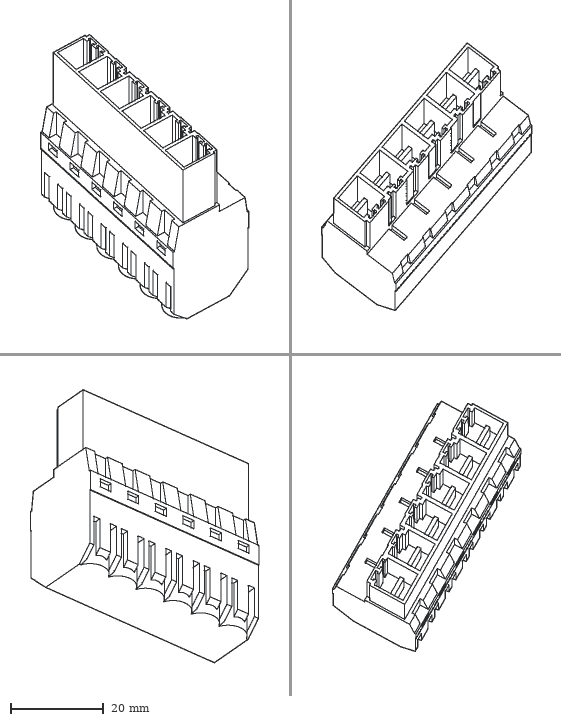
import cadquery as cq


LENGTH = 46.6
END_MARGIN = 0.445
WAYS = 6
PITCH = (LENGTH - 2 * END_MARGIN) / WAYS
CELL_CENTRES = [(i - (WAYS - 1) / 2) * PITCH for i in range(WAYS)]

DEPTH = 20.6
BAND_BOTTOM = 17.35
BAND_TOP = 22.4
BAND_PROUD = 0.2
BASE_FRONT_CHAMFER = 3.6
BASE_BACK_CHAMFER = 5.05
FRONT_SHOULDER_Y = 0.35
FRONT_TOP_Y = 1.6
BACK_SHOULDER_Y = DEPTH - 0.35
BACK_TOP_Y = DEPTH - 1.0
BLOCK_BACK_Y = 12.65
LEDGE_Z = 27.15
BLOCK_TOP = 29.1

TOWER_TOP = 45.0
TOWER_LENGTH = 45.75
TOWER_FRONT_Y = 3.05
CORNER_NOTCH_WIDTH = 0.45
CORNER_NOTCH_Y = 11.7

FRONT_NOTCH_WIDTH = 3.55
FRONT_NOTCH_Y = 2.35
BACK_NOTCH_WIDTH = 2.5
BACK_NOTCH_Y = BACK_TOP_Y - 0.25
WINDOW_WIDTH = 3.0
WINDOW_BOTTOM = 19.2
WINDOW_TOP = 21.3
WINDOW_DEPTH = 0.95
RIB_SLOT_TOP = 11.0
RIB_SLOT_INNER = 1.5
RIB_SLOT_OUTER = 3.12
BOSS_RADIUS = 4.1
BOSS_FRONT_Y = 1.25

LEDGE_SLOT_WIDTH = 1.05
LEDGE_SLOT_OFFSET = 0.05
LEDGE_SLOT_BACK_Y = 16.85
LEDGE_SLOT_DEPTH = 2.35
RECESS_Y = BLOCK_BACK_Y - 0.2
RECESS_WIDTH = 2.55
KEY_NOTCH_WIDTH = 1.25
KEY_NOTCH_Y = 11.95
KEY_NOTCH_DEEP_WIDTH = 0.5
KEY_NOTCH_DEEP_Y = 11.25

SOCKET_WALL = 0.9
SOCKET_HALF = (PITCH - SOCKET_WALL) / 2
TOWER_END_WALL = 0.6
END_SOCKET_HALF = TOWER_LENGTH / 2 - TOWER_END_WALL - CELL_CENTRES[-1]
SOCKET_FRONT_Y = 3.78
SOCKET_FLOOR = BLOCK_TOP
KEY_HEAD_Y = 12.1
KEY_SHOULDER_Y = 11.55
KEY_WALL_Y = 11.05

INNER_KEY = (-1.03, 1.25, -0.5, 0.75)
END_KEY_OUTER = (-2.45, -0.33, -2.1, -0.7)
END_KEY_INNER = (0.35, 2.7, 0.95, 2.15)
INNER_STEP_LEFT = -1.6
INNER_STEP_RIGHT = 1.95
END_STEP_LEFT = -1.4
END_STEP_RIGHT = 1.55
INNER_CORNER_Y = 10.3
END_CORNER_OUTER_Y = 10.85
END_CORNER_INNER_Y = 11.25

BLADE_WIDTH = 4.48
BLADE_THICKNESS = 0.95
BLADE_Y = 7.05
BLADE_HEIGHT = 9.32


def box(x_range, y_range, z_range):
    """Axis-aligned box between two limits on each axis."""
    (x0, x1), (y0, y1), (z0, z1) = x_range, y_range, z_range
    return cq.Workplane("XY").box(x1 - x0, y1 - y0, z1 - z0, centered=False).translate((x0, y0, z0))


def span(centre, width):
    """Limits of a width centred on a position."""
    return (centre - width / 2, centre + width / 2)


def make_body():
    """Side profile extruded over the full length."""
    front_y = BAND_PROUD
    back_y = DEPTH - BAND_PROUD
    profile = [
        (front_y + BASE_FRONT_CHAMFER, 0),
        (front_y, BASE_FRONT_CHAMFER),
        (front_y, BAND_BOTTOM),
        (0, BAND_BOTTOM),
        (0, BAND_TOP),
        (FRONT_SHOULDER_Y, BAND_TOP),
        (FRONT_TOP_Y, BLOCK_TOP),
        (BLOCK_BACK_Y, BLOCK_TOP),
        (BLOCK_BACK_Y, LEDGE_Z),
        (BACK_TOP_Y, LEDGE_Z),
        (BACK_SHOULDER_Y, BAND_TOP),
        (DEPTH, BAND_TOP),
        (DEPTH, BAND_BOTTOM),
        (back_y, BAND_BOTTOM),
        (back_y, BASE_BACK_CHAMFER),
        (back_y - BASE_BACK_CHAMFER, 0),
    ]
    return cq.Workplane("YZ").polyline(profile).close().extrude(LENGTH / 2, both=True)


def cut_cell_front_and_back(body, centre):
    """Notches, window and rib slots of one cell."""
    above_band = (BAND_TOP, BLOCK_TOP)
    body = body.cut(box(span(centre, FRONT_NOTCH_WIDTH), (0, FRONT_NOTCH_Y), above_band))
    body = body.cut(box(span(centre, BACK_NOTCH_WIDTH), (BACK_NOTCH_Y, DEPTH), above_band))
    window_height = (WINDOW_BOTTOM, WINDOW_TOP)
    body = body.cut(box(span(centre, WINDOW_WIDTH), (0, WINDOW_DEPTH), window_height))
    slot_depth = (0, BOSS_FRONT_Y + BOSS_RADIUS)
    for x_range in [
        (centre - RIB_SLOT_OUTER, centre - RIB_SLOT_INNER),
        (centre + RIB_SLOT_INNER, centre + RIB_SLOT_OUTER),
    ]:
        body = body.cut(box(x_range, slot_depth, (0, RIB_SLOT_TOP)))
    return body


def make_boss(centre):
    """Round wire-entry boss that shows through the rib slots and the base chamfer."""
    boss = cq.Workplane("XY").circle(BOSS_RADIUS).extrude(RIB_SLOT_TOP)
    return boss.translate((centre, BOSS_FRONT_Y + BOSS_RADIUS, 0))


def make_tower():
    """Plain tower with a small notch on each rear corner."""
    height = (BLOCK_TOP, TOWER_TOP)
    tower = box(span(0, TOWER_LENGTH), (TOWER_FRONT_Y, BLOCK_BACK_Y), height)
    for side in (-1, 1):
        notch_x = side * (TOWER_LENGTH - CORNER_NOTCH_WIDTH) / 2
        tower = tower.cut(box(span(notch_x, CORNER_NOTCH_WIDTH), (CORNER_NOTCH_Y, BLOCK_BACK_Y), height))
    return tower


def cut_ledge_slot_and_recesses(housing, boundary, has_key_notch, recess_width):
    """Ledge slot and tower-back recesses at one boundary between two cells."""
    slot = span(boundary + LEDGE_SLOT_OFFSET, LEDGE_SLOT_WIDTH)
    left = slot[0]
    housing = housing.cut(
        box(slot, (BLOCK_BACK_Y, LEDGE_SLOT_BACK_Y), (LEDGE_Z - LEDGE_SLOT_DEPTH, LEDGE_Z))
    )
    height = (BLOCK_TOP, TOWER_TOP)
    housing = housing.cut(box((left, left + recess_width), (RECESS_Y, BLOCK_BACK_Y), height))
    if has_key_notch:
        for width, floor_y in [
            (KEY_NOTCH_WIDTH, KEY_NOTCH_Y),
            (KEY_NOTCH_DEEP_WIDTH, KEY_NOTCH_DEEP_Y),
        ]:
            housing = housing.cut(box((left - width, left), (floor_y, BLOCK_BACK_Y), height))
    return housing


def make_socket(back_steps, key_slots):
    """Socket void centred on X = 0.

    back_steps lists (left, right, back y) of each stretch of the back wall;
    key_slots lists (head left, head right, neck left, neck right) of each T slot.
    """
    height = (SOCKET_FLOOR, TOWER_TOP)
    left = back_steps[0][0]
    right = back_steps[-1][1]
    front_limit = min(back_y for _, _, back_y in back_steps)
    socket = box((left, right), (SOCKET_FRONT_Y, front_limit), height)
    for x0, x1, back_y in back_steps:
        socket = socket.union(box((x0, x1), (SOCKET_FRONT_Y, back_y), height))
    for head_left, head_right, neck_left, neck_right in key_slots:
        socket = socket.union(box((neck_left, neck_right), (SOCKET_FRONT_Y, KEY_SHOULDER_Y), height))
        socket = socket.union(box((head_left, head_right), (KEY_SHOULDER_Y, KEY_HEAD_Y), height))
    return socket


def make_inner_socket():
    """Socket of the middle cells, with one key slot and a stepped back wall."""
    back_steps = [
        (-SOCKET_HALF, INNER_STEP_LEFT, KEY_SHOULDER_Y),
        (INNER_STEP_LEFT, INNER_STEP_RIGHT, KEY_WALL_Y),
        (INNER_STEP_RIGHT, SOCKET_HALF, INNER_CORNER_Y),
    ]
    return make_socket(back_steps, [INNER_KEY])


def make_left_end_socket():
    """Socket of the leftmost cell, with two key slots; the rightmost is its mirror image."""
    back_steps = [
        (-END_SOCKET_HALF, END_STEP_LEFT, END_CORNER_OUTER_Y),
        (END_STEP_LEFT, END_STEP_RIGHT, KEY_WALL_Y),
        (END_STEP_RIGHT, SOCKET_HALF, END_CORNER_INNER_Y),
    ]
    return make_socket(back_steps, [END_KEY_OUTER, END_KEY_INNER])


def make_housing():
    """Complete insulating housing."""
    housing = make_body()
    for centre in CELL_CENTRES:
        housing = cut_cell_front_and_back(housing, centre)
    for centre in CELL_CENTRES:
        housing = housing.union(make_boss(centre))
    housing = housing.union(make_tower())

    for i, centre in enumerate(CELL_CENTRES[:-1]):
        is_first = i == 0
        is_last = i == WAYS - 2
        recess_width = LEDGE_SLOT_WIDTH if is_last else RECESS_WIDTH
        housing = cut_ledge_slot_and_recesses(housing, centre + PITCH / 2, not is_first, recess_width)

    end_socket = make_left_end_socket()
    housing = housing.cut(end_socket.translate((CELL_CENTRES[0], 0, 0)))
    housing = housing.cut(end_socket.mirror("YZ").translate((CELL_CENTRES[-1], 0, 0)))
    inner_socket = make_inner_socket()
    for centre in CELL_CENTRES[1:-1]:
        housing = housing.cut(inner_socket.translate((centre, 0, 0)))
    return housing


def make_blade(centre):
    """Flat contact blade standing on the socket floor."""
    return box(
        span(centre, BLADE_WIDTH),
        span(BLADE_Y, BLADE_THICKNESS),
        (SOCKET_FLOOR, SOCKET_FLOOR + BLADE_HEIGHT),
    )


housing = make_housing()
blades = [make_blade(centre) for centre in CELL_CENTRES]

result = cq.Compound.makeCompound([housing.val(), *[blade.val() for blade in blades]])